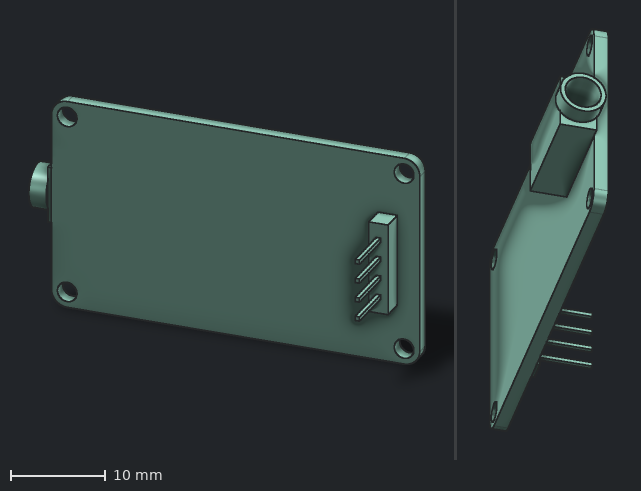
import cadquery as cq

board_length = 42.0
board_height = 24.0
board_thickness = 1.58
corner_radius = 1.8
mount_hole_diameter = 2.2
mount_hole_inset = 1.8

overall_length = 45.0
jack_body_length = 12.0
jack_body_depth = 4.0
jack_body_height = 6.4
collar_length = 2.0
collar_diameter = 5.0
bore_diameter = 3.9

header_width = 2.2
header_height = 10.45
header_depth = 2.65
header_inset = 3.65
pin_count = 4
pin_pitch = 2.2
pin_size = 0.5
pin_length = 6.0

board_right = overall_length / 2
board_left = board_right - board_length
board_center_x = (board_left + board_right) / 2
jack_left = -overall_length / 2
jack_axis_y = jack_body_depth / 2
header_x = board_right - header_inset


def make_board():
    hole_span_x = board_length - 2 * mount_hole_inset
    hole_span_z = board_height - 2 * mount_hole_inset
    return (
        cq.Workplane("XZ", origin=(board_center_x, 0, 0))
        .rect(board_length, board_height)
        .extrude(board_thickness)
        .edges("|Y")
        .fillet(corner_radius)
        .faces("<Y")
        .workplane(centerOption="CenterOfBoundBox")
        .rect(hole_span_x, hole_span_z, forConstruction=True)
        .vertices()
        .hole(mount_hole_diameter)
    )


def make_jack():
    """Jack body and collar with a bore running through both along X."""
    axis_start = cq.Workplane("YZ", origin=(jack_left, jack_axis_y, 0))
    collar = axis_start.circle(collar_diameter / 2).extrude(collar_length)
    body = (
        axis_start.workplane(offset=collar_length)
        .rect(jack_body_depth, jack_body_height)
        .extrude(jack_body_length)
    )
    bore = axis_start.circle(bore_diameter / 2).extrude(collar_length + jack_body_length)
    return collar.union(body).cut(bore)


def make_header():
    """Header block with a single column of square pins pointing toward -Y."""
    front_face = cq.Workplane("XZ", origin=(header_x, -board_thickness, 0))
    block = front_face.rect(header_width, header_height).extrude(header_depth)
    pins = (
        front_face.workplane(offset=header_depth)
        .rarray(0.45, pin_pitch, 1, pin_count)
        .rect(pin_size, pin_size)
        .extrude(pin_length)
    )
    return block.union(pins)


result = make_board().union(make_jack()).union(make_header())